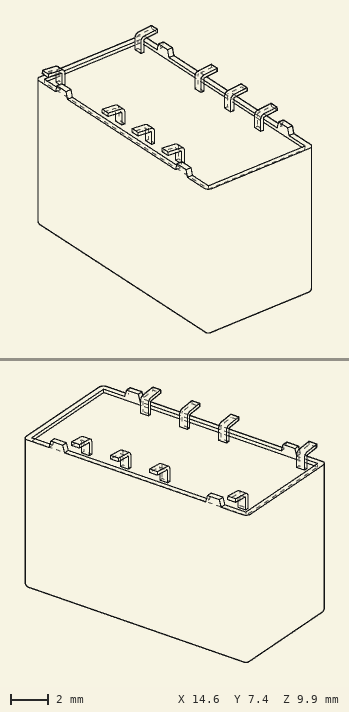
import cadquery as cq
import math

case_length = 14.6
case_width = 7.2
case_height = 9.02
case_radius = 0.29
wall = 0.34
recess_depth = 0.2

standoff_height = 0.42
standoff_base = 1.01
standoff_top = 0.77
standoff_offset = 5.1

pin_pitch = 2.54
pin_steps = (-2.5, -0.5, 0.5, 1.5)
pin_width = 0.51
pin_thickness = 0.2
pin_inner_radius = 0.06
pin_outer_radius = pin_inner_radius + pin_thickness
pin_leg_face = 2.57
pin_span = 7.4
pin_top = 9.9
pin_tilt = math.radians(5)

floor_z = case_height - recess_depth


def make_case():
    """Rounded box with a sharp-cornered recess; its bottom lies at Z = 0."""
    case = (
        cq.Workplane("XY")
        .box(case_length, case_width, case_height, centered=(True, True, False))
        .edges("|Z or <Z")
        .fillet(case_radius)
    )
    recess = (
        cq.Workplane("XY", origin=(0, 0, floor_z))
        .rect(case_length - 2 * wall, case_width - 2 * wall)
        .extrude(recess_depth)
    )
    return case.cut(recess)


def make_standoff(x, side):
    """Trapezoidal tab, as thick as the wall; side is +1 for +Y, -1 for -Y."""
    outer_y = side * case_width / 2
    return (
        cq.Workplane("XZ", origin=(x, outer_y, case_height))
        .moveTo(-standoff_base / 2, 0)
        .lineTo(standoff_base / 2, 0)
        .lineTo(standoff_top / 2, standoff_height)
        .lineTo(-standoff_top / 2, standoff_height)
        .close()
        .extrude(side * wall)
    )


def make_pin(x):
    """Pin of the +Y row: an upright leg and a foot that rises slightly outward."""
    bend_y = pin_leg_face + pin_outer_radius
    along = (math.cos(pin_tilt), math.sin(pin_tilt))
    up = (-math.sin(pin_tilt), math.cos(pin_tilt))

    tip_low_y = pin_span / 2
    tip_high_y = tip_low_y + pin_thickness * up[0]
    tip_low_z = pin_top - pin_thickness * up[1]

    foot_length = (tip_high_y - bend_y - pin_outer_radius * up[0]) / along[0]
    bend_z = pin_top - foot_length * along[1] - pin_outer_radius * up[1]

    def on_bend(radius, angle):
        return bend_y + radius * math.cos(angle), bend_z + radius * math.sin(angle)

    bend_end = math.pi / 2 + pin_tilt
    bend_middle = (math.pi + bend_end) / 2
    return (
        cq.Workplane("YZ", origin=(x - pin_width / 2, 0, 0))
        .moveTo(pin_leg_face, floor_z)
        .lineTo(*on_bend(pin_outer_radius, math.pi))
        .threePointArc(on_bend(pin_outer_radius, bend_middle), on_bend(pin_outer_radius, bend_end))
        .lineTo(tip_high_y, pin_top)
        .lineTo(tip_low_y, tip_low_z)
        .lineTo(*on_bend(pin_inner_radius, bend_end))
        .threePointArc(on_bend(pin_inner_radius, bend_middle), on_bend(pin_inner_radius, math.pi))
        .lineTo(pin_leg_face + pin_thickness, floor_z)
        .close()
        .extrude(pin_width)
    )


result = make_case()

for side in (-1, 1):
    for x in (-standoff_offset, standoff_offset):
        result = result.union(make_standoff(x, side))

for step in pin_steps:
    pin = make_pin(step * pin_pitch)
    result = result.union(pin).union(pin.mirror("XZ"))